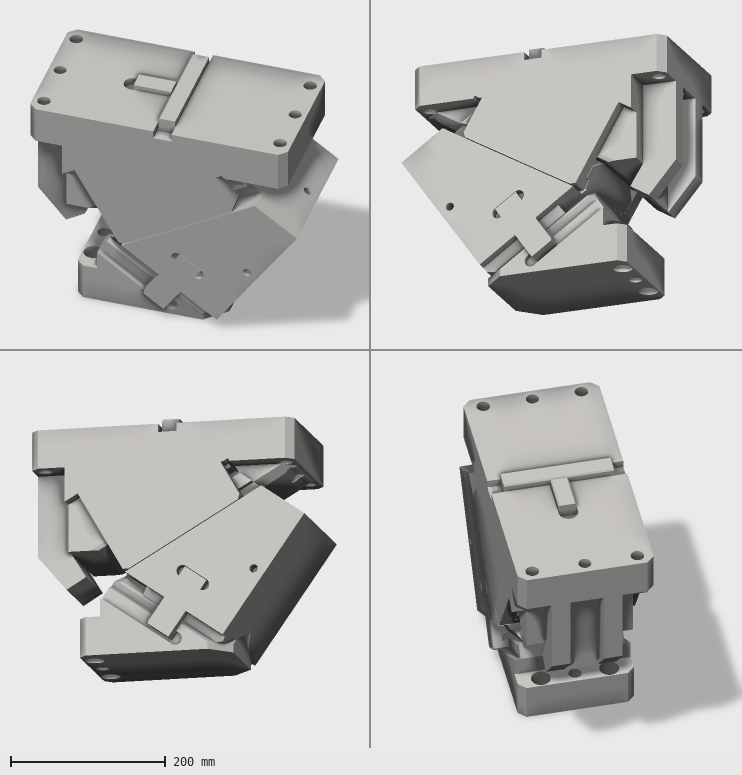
import cadquery as cq
import math

LENGTH = 364.5
WIDTH = 180.0
HEIGHT = 309.0
FAR = 437.5

RAMP_X = 89.7
RAMP_Z = 76.2
RAMP_ANGLE = 35.0
ROOF_ANGLE = 30.0

WAY_X = 125.5
WAY_Z = 105.0
WAY_ANGLE = 30.0

ramp_cos = math.cos(math.radians(RAMP_ANGLE))
ramp_sin = math.sin(math.radians(RAMP_ANGLE))
way_cos = math.cos(math.radians(WAY_ANGLE))
way_sin = math.sin(math.radians(WAY_ANGLE))
roof_tan = math.tan(math.radians(ROOF_ANGLE))
roof_sin = math.sin(math.radians(ROOF_ANGLE))
roof_cos = math.cos(math.radians(ROOF_ANGLE))

RAMP_ORIGIN = (RAMP_X, 0, RAMP_Z)
RAMP_DIR = (ramp_cos, 0, -ramp_sin)
RAMP_UP = (ramp_sin, 0, ramp_cos)
WAY_ORIGIN = (WAY_X, 0, WAY_Z)
WAY_DIR = (way_cos, 0, way_sin)

SIDE = cq.Plane.named("XZ")
RAMP_SIDE = cq.Plane(origin=RAMP_ORIGIN, xDir=RAMP_DIR, normal=(0, -1, 0))
RAMP_SECTION = cq.Plane(origin=RAMP_ORIGIN, xDir=(0, 1, 0), normal=RAMP_DIR)
WAY_SIDE = cq.Plane(origin=WAY_ORIGIN, xDir=WAY_DIR, normal=(0, -1, 0))
WAY_SECTION = cq.Plane(origin=WAY_ORIGIN, xDir=(0, 1, 0), normal=WAY_DIR)

PLATE_LENGTH = 349.5
PLATE_TOP = 299.8
PLATE_REAR_Z = 248.7
PLATE_FRONT_Z = 245.0
CORNER_CHAMFER = 10.2
BODY_REAR_X = 46.0
BODY_BOTTOM_Z = 140.8
GIB_TIP_Z = 109.5
GIB_TOP = 124.7
GIB_END = 180.0
GIB_CHAMFER = 5.5
RUNNING_GAP = 1.0
SLOT_HALF = 70.5
LIP_HALF = 60.5
LIP_TOP = 18.5
SLOT_EDGE_TOP = 55.8
SLOT_TOP = 51.0
SLOT_BEVEL = 2.2
CEILING_END = 186.5
RELIEF_END = 191.0
STOP_HALF = 59.8
STOP_SIDE = 20.0
STOP_BOTTOM = 11.3
STOP_TIP = (323.5, 231.0)
STOP_BEND = (335.0, 241.8)
STOP_FRONT = (343.5, 243.2)
POST_INNER = 22.2
POST_OUTER = 46.5
WEB_REAR_X = 38.0
POST_TOE = (38.0, 96.3)
POST_HEEL = (63.8, 112.0)
KEY_REAR_X = 171.5
KEY_FRONT_X = 194.5
KEY_SLOT_REAR_X = 170.0
KEY_SLOT_Z = 288.8
KEY_HALF = 73.0
KEY_CHAMFER = 2.0
TONGUE_REAR_X = 119.2
TONGUE_WIDTH = 23.5
TONGUE_SLOT_WIDTH = 25.5
TONGUE_SLOT_REAR_X = 102.0
REAR_SCREW_X = 15.3
REAR_SCREW_Y = 69.5
FRONT_SCREW_X = 334.0
FRONT_SCREW_Y = 65.0
PLATE_SCREW_DIAMETER = 17.5
DOWEL_DIAMETER = 16.8

BASE_HALF = 77.0
BASE_REAR_X = 60.5
BASE_FRONT_X = 260.5
FOOT_Z = 51.0
BASE_REAR_CHAMFER = 10.0
BASE_FRONT_CHAMFER = 27.7
FOOT_HOLE_X = 74.8
FOOT_SCREW_Y = 45.2
FOOT_SCREW_DIAMETER = 25.5
RAIL_HALF = 69.0
RAIL_TIP = 32.5
UNDERCUT = 6.2
TIP_RADIUS = 3.0
LEAD_LENGTH = 9.0
LEAD_ANGLE = 30.0
GROOVE_END = 116.7
GROOVE_END_RADIUS = 8.5

SLIDE_NOSE = 5.0
NOSE_TOP = 47.5
SLIDE_END = 171.5
SLIDE_BOTTOM = 45.0
SHOE_START = 44.5
SHOE_HALF = 77.0
SHOE_TIP_RADIUS = 2.2
SHOE_BOTTOM_Z = 9.5
RECESS_HALF = 51.8
NECK_HALF = 59.5
HEAD_HALF = 69.3
HEAD_BOTTOM = 19.7
HEAD_SHOULDER = 37.0
LEG_START = 77.0
LEG_END = 111.5
LEG_HALF = 77.3
HOOK_HALF = 69.5
HOOK_TOP = 18.2
LEG_BOTTOM = 4.5
LEG_TOP = 93.0
LEG_CHAMFER = 2.2
RELIEF_RADIUS = 7.5
RELIEF_CENTER = 86.0
RELIEF_DEPTH = 12.8
HANDLING_DIAMETER = 11.0
HANDLING_DEPTH = 18.2
SIDE_HOLE_X = 297.2
SIDE_HOLE_Z = 100.3
END_HOLE = 154.5
slide_top = (LENGTH - RAMP_X - SLIDE_END * ramp_cos) / ramp_sin


def prism(plane, points, half):
    """Outline extruded equally to both sides of its plane."""
    return cq.Workplane(plane).polyline(points).close().extrude(half, both=True)


def rect(x0, y0, x1, y1):
    return [(x0, y0), (x1, y0), (x1, y1), (x0, y1)]


def section(plane, points, start, end):
    """Cross-section outline swept along the plane's normal from start to end."""
    return cq.Workplane(plane).workplane(offset=start).polyline(points).close().extrude(end - start)


def mirrored(points):
    """Closed symmetric outline from the points of its +Y half."""
    return points + [(-y, z) for y, z in reversed(points)]


def box(x0, x1, y0, y1, z0, z1):
    return cq.Workplane("XY").box(x1 - x0, y1 - y0, z1 - z0, centered=False).translate((x0, y0, z0))


def both_sides(body):
    return body.union(body.mirror("XZ"))


def holes(points, diameter, bottom, top):
    plane = cq.Workplane("XY").workplane(offset=bottom)
    return plane.pushPoints(points).circle(diameter / 2).extrude(top - bottom)


def fillet_near(body, plane, point, radius):
    """Fillet the edge of the body that lies nearest to a point given in a plane's own axes."""
    target = plane.toWorldCoords(point).toTuple()
    return body.edges(cq.selectors.NearestToPointSelector(target)).fillet(radius)


def way(s, t):
    """X and Z of a point given along and above the slideway."""
    return WAY_X + s * way_cos - t * way_sin, WAY_Z + s * way_sin + t * way_cos


def roof_height(y):
    """Height of the rail's roof above the groove floor at a distance y from the middle."""
    return RAIL_TIP + (RAIL_HALF - y) * roof_tan


def make_plate():
    rear = box(0, BODY_REAR_X, -WIDTH / 2, WIDTH / 2, PLATE_REAR_Z, PLATE_TOP)
    front = box(BODY_REAR_X, PLATE_LENGTH, -WIDTH / 2, WIDTH / 2, PLATE_FRONT_Z, PLATE_TOP)
    plate = rear.union(front).edges("|Z and (<X or >X)").chamfer(CORNER_CHAMFER)
    notch = prism(WAY_SIDE, rect(GIB_END, 0, RELIEF_END, SLOT_EDGE_TOP), WIDTH)
    return plate.cut(notch)


def make_gib_body():
    rear_top = way(0, GIB_TOP)
    corner_z = rear_top[1] - (rear_top[0] - BODY_REAR_X) * way_sin / way_cos
    tip_t = (GIB_TIP_Z - WAY_Z) / way_cos
    tip_s = (GIB_TIP_Z - WAY_Z - RUNNING_GAP * way_cos) / way_sin
    end_top = way(GIB_END, SLOT_EDGE_TOP)
    outline = [
        (BODY_REAR_X, PLATE_TOP),
        (BODY_REAR_X, corner_z),
        rear_top,
        way(0, tip_t),
        way(tip_s, RUNNING_GAP),
        way(GIB_END - GIB_CHAMFER, RUNNING_GAP),
        way(GIB_END, RUNNING_GAP + GIB_CHAMFER),
        end_top,
        (end_top[0], PLATE_TOP),
    ]
    gibs = prism(SIDE, outline, WIDTH / 2)
    core = box(BODY_REAR_X, WAY_X, -SLOT_HALF, SLOT_HALF, BODY_BOTTOM_Z, PLATE_TOP)
    slot_half = [
        (LIP_HALF, -FAR / 2),
        (LIP_HALF, LIP_TOP),
        (SLOT_HALF, LIP_TOP),
        (SLOT_HALF, SLOT_EDGE_TOP),
        (SLOT_HALF - SLOT_BEVEL, SLOT_TOP),
    ]
    ceiling_end = prism(WAY_SIDE, rect(GIB_END - GIB_CHAMFER, LIP_TOP, CEILING_END, SLOT_EDGE_TOP), SLOT_HALF)
    slot = section(WAY_SECTION, mirrored(slot_half), -FAR / 2, FAR)
    return gibs.union(core).union(ceiling_end).cut(slot)


def make_posts():
    hook = [
        (0, PLATE_REAR_Z),
        (0, BODY_BOTTOM_Z),
        POST_TOE,
        POST_HEEL,
        (BODY_REAR_X, BODY_BOTTOM_Z),
        (BODY_REAR_X, PLATE_REAR_Z),
    ]
    posts = prism(SIDE, hook, POST_OUTER)
    return posts.cut(box(0, WEB_REAR_X, -POST_INNER, POST_INNER, 0, PLATE_REAR_Z))


def make_stop():
    keel_half = STOP_HALF - (STOP_SIDE - STOP_BOTTOM) / roof_tan
    half = [(keel_half, STOP_BOTTOM), (STOP_HALF, STOP_SIDE), (STOP_HALF, FAR)]
    stop = section(WAY_SECTION, mirrored(half), RELIEF_END, FAR)
    outline = [
        (WAY_X, PLATE_FRONT_Z),
        (WAY_X, 0),
        (STOP_TIP[0], 0),
        STOP_TIP,
        STOP_BEND,
        STOP_FRONT,
        (STOP_FRONT[0], PLATE_FRONT_Z),
    ]
    stop = stop.intersect(prism(SIDE, outline, WIDTH))
    return stop.cut(prism(RAMP_SIDE, rect(0, 0, FAR, slide_top), WIDTH))


def cut_key_slots(body):
    key_slot = box(KEY_SLOT_REAR_X, KEY_FRONT_X, -WIDTH, WIDTH, KEY_SLOT_Z, HEIGHT)
    half = TONGUE_SLOT_WIDTH / 2
    round_x = TONGUE_SLOT_REAR_X + half
    tongue_slot = box(round_x, KEY_SLOT_REAR_X, -half, half, KEY_SLOT_Z, HEIGHT)
    tongue_end = holes([(round_x, 0)], TONGUE_SLOT_WIDTH, KEY_SLOT_Z, HEIGHT)
    return body.cut(key_slot).cut(tongue_slot).cut(tongue_end)


def make_keys():
    key = box(KEY_REAR_X, KEY_FRONT_X, -KEY_HALF, KEY_HALF, KEY_SLOT_Z, HEIGHT)
    key = key.edges(">Z and |Y").edges("<X").chamfer(KEY_CHAMFER)
    half = TONGUE_WIDTH / 2
    tongue = box(TONGUE_REAR_X, KEY_SLOT_REAR_X, -half, half, KEY_SLOT_Z, HEIGHT)
    return key, tongue.edges(">Z and |X").chamfer(KEY_CHAMFER)


def make_holder():
    holder = make_plate().union(make_gib_body()).union(make_posts()).union(make_stop())
    holder = cut_key_slots(holder)
    for key in make_keys():
        holder = holder.union(key)
    for x, y in ((REAR_SCREW_X, REAR_SCREW_Y), (FRONT_SCREW_X, FRONT_SCREW_Y)):
        screws = holes([(x, -y), (x, y)], PLATE_SCREW_DIAMETER, 0, PLATE_TOP)
        dowel = holes([(x, 0)], DOWEL_DIAMETER, 0, PLATE_TOP)
        holder = holder.cut(screws).cut(dowel)
    return holder


def make_roof_space():
    """Everything below the V roof."""
    eave = FAR / 2
    half = [(eave, -FAR), (eave, roof_height(eave))]
    ridge = [(0, roof_height(0))]
    outline = half + ridge + [(-y, v) for y, v in reversed(half)]
    return section(RAMP_SECTION, outline, -FAR, FAR)


def make_lead_cut():
    """Tilted block above the lead-in of the -Y side of the roof."""
    slab = cq.Workplane("XY").box(FAR, FAR, FAR, centered=(True, True, False))
    slab = slab.rotate((0, 0, 0), (0, 1, 0), -LEAD_ANGLE)
    slab = slab.rotate((0, 0, 0), (1, 0, 0), ROOF_ANGLE)
    slab = slab.rotate((0, 0, 0), (0, 1, 0), RAMP_ANGLE)
    ridge = RAMP_SIDE.toWorldCoords((LEAD_LENGTH, roof_height(0)))
    return slab.translate(ridge.toTuple())


def make_groove():
    """Side groove of the +Y side: undercut as far as the leg, then a plain round end."""
    inner = RAIL_HALF - UNDERCUT
    half = [
        (BASE_HALF, 0),
        (RAIL_HALF, 0),
        (RAIL_HALF, RAIL_TIP - UNDERCUT / roof_tan - UNDERCUT * roof_tan),
        (inner, RAIL_TIP - UNDERCUT / roof_tan),
        (RAIL_HALF, RAIL_TIP),
        (RAIL_HALF, FAR),
        (BASE_HALF, FAR),
    ]
    groove = section(RAMP_SECTION, half, 0, LEG_END)
    depth = BASE_HALF - RAIL_HALF
    plane = cq.Workplane(RAMP_SIDE).workplane(offset=-BASE_HALF)
    floor = plane.polyline(rect(0, 0, GROOVE_END, 2 * GROOVE_END_RADIUS)).close().extrude(depth)
    end = plane.center(GROOVE_END, GROOVE_END_RADIUS).circle(GROOVE_END_RADIUS).extrude(depth)
    return groove.union(floor).union(end)


def round_rail_tips(base):
    for side in (-1, 1):
        tip = (side * RAIL_HALF, RAIL_TIP, LEG_END / 2)
        base = fillet_near(base, RAMP_SECTION, tip, TIP_RADIUS)
    return base


def make_base():
    ridge = RAMP_SIDE.toWorldCoords((0, roof_height(0)))
    outline = [
        (BASE_REAR_X, 0),
        (BASE_FRONT_X, 0),
        (BASE_FRONT_X, ridge.z),
        (ridge.x, ridge.z),
        (RAMP_X, RAMP_Z),
        (RAMP_X, FOOT_Z),
        (BASE_REAR_X, FOOT_Z),
    ]
    base = prism(SIDE, outline, BASE_HALF)
    base = base.edges("|Z and <X").chamfer(BASE_REAR_CHAMFER)
    base = base.edges("|Z and >X").chamfer(BASE_FRONT_CHAMFER)
    base = base.intersect(make_roof_space()).cut(both_sides(make_groove()))
    base = round_rail_tips(base)
    lead = make_lead_cut()
    base = base.cut(lead).cut(lead.mirror("XZ"))
    screw_centers = [(FOOT_HOLE_X, -FOOT_SCREW_Y), (FOOT_HOLE_X, FOOT_SCREW_Y)]
    screws = holes(screw_centers, FOOT_SCREW_DIAMETER, 0, FOOT_Z)
    dowel = holes([(FOOT_HOLE_X, 0)], DOWEL_DIAMETER, 0, FOOT_Z)
    return base.cut(screws).cut(dowel)


def make_slide_stack():
    block = prism(RAMP_SIDE, rect(-FAR, SLIDE_BOTTOM, SLIDE_END, slide_top), WIDTH / 2)
    roof_rise = SLOT_TOP - RUNNING_GAP - HEAD_SHOULDER
    half = [
        (WIDTH / 2, -FAR),
        (WIDTH / 2, 0),
        (NECK_HALF, 0),
        (NECK_HALF, HEAD_BOTTOM),
        (HEAD_HALF, HEAD_BOTTOM),
        (HEAD_HALF, HEAD_SHOULDER),
        (HEAD_HALF - roof_rise / roof_tan, HEAD_SHOULDER + roof_rise),
    ]
    stack = block.intersect(section(WAY_SECTION, mirrored(half), -FAR, FAR))
    head_front = prism(WAY_SIDE, rect(-FAR, -FAR, 0, FAR), WIDTH)
    head_front = head_front.cut(prism(RAMP_SIDE, rect(-FAR, -FAR, FAR, NOSE_TOP), 2 * WIDTH))
    nose_front = prism(RAMP_SIDE, rect(-FAR, 0, SLIDE_NOSE, NOSE_TOP), WIDTH)
    return stack.cut(head_front).cut(nose_front)


def make_recess_and_shoe():
    """V recess that clears the rail, and the shoe that fills the space down to the roof."""
    ridge = SLIDE_BOTTOM + RECESS_HALF * roof_tan
    triangle = [(RECESS_HALF, SLIDE_BOTTOM), (0, ridge), (-RECESS_HALF, SLIDE_BOTTOM)]
    recess = section(RAMP_SECTION, triangle, 0, FAR)
    tip_drop = (SLIDE_BOTTOM - roof_height(SHOE_HALF)) * roof_cos
    tip_y = SHOE_HALF - tip_drop * roof_sin
    half = [(tip_y, roof_height(tip_y)), (SHOE_HALF, SLIDE_BOTTOM), (RECESS_HALF, SLIDE_BOTTOM)]
    outline = [(0, roof_height(0))] + half + [(0, ridge)] + [(-y, v) for y, v in reversed(half)]
    shoe = section(RAMP_SECTION, outline, SHOE_START, SLIDE_END)
    for side in (-1, 1):
        tip = (side * tip_y, roof_height(tip_y), (SHOE_START + SLIDE_END) / 2)
        shoe = fillet_near(shoe, RAMP_SECTION, tip, SHOE_TIP_RADIUS)
    return recess, shoe.intersect(box(0, LENGTH, -WIDTH, WIDTH, SHOE_BOTTOM_Z, HEIGHT))


def make_leg():
    """Return leg hanging beside the base, with an inward hook along its lower edge."""
    hook_drop = (LEG_HALF - HOOK_HALF) * roof_tan
    profile = [
        (WIDTH / 2, SLIDE_BOTTOM),
        (WIDTH / 2, LEG_BOTTOM),
        (HOOK_HALF, LEG_BOTTOM),
        (HOOK_HALF, HOOK_TOP),
        (LEG_HALF, HOOK_TOP - hook_drop),
        (LEG_HALF, SLIDE_BOTTOM),
    ]
    leg = section(RAMP_SECTION, profile, LEG_START, LEG_END)
    corner = [
        (LEG_START, LEG_BOTTOM),
        (LEG_START + LEG_CHAMFER, LEG_BOTTOM),
        (LEG_START, LEG_BOTTOM + LEG_CHAMFER),
    ]
    return leg.cut(prism(RAMP_SIDE, corner, WIDTH))


def make_leg_reliefs():
    """Half-round reliefs at the two upper corners of a return leg."""
    top = RELIEF_CENTER + RELIEF_RADIUS
    plane = cq.Workplane(RAMP_SIDE).workplane(offset=-WIDTH / 2)
    ends = plane.pushPoints([(LEG_START, RELIEF_CENTER), (LEG_END, RELIEF_CENTER)])
    ends = ends.circle(RELIEF_RADIUS).extrude(RELIEF_DEPTH)
    strip = plane.polyline(rect(LEG_START, RELIEF_CENTER, LEG_END, top)).close().extrude(RELIEF_DEPTH)
    return ends.union(strip).cut(prism(RAMP_SIDE, rect(LEG_START, 0, LEG_END, LEG_TOP), WIDTH))


def make_side_hole():
    side = cq.Workplane(SIDE).workplane(offset=WIDTH / 2)
    return side.center(SIDE_HOLE_X, SIDE_HOLE_Z).circle(HANDLING_DIAMETER / 2).extrude(-HANDLING_DEPTH)


def make_end_hole():
    center = RAMP_SIDE.toWorldCoords((END_HOLE, slide_top))
    plane = cq.Plane(origin=center.toTuple(), normal=RAMP_UP)
    return cq.Workplane(plane).circle(HANDLING_DIAMETER / 2).extrude(-HANDLING_DEPTH)


def make_slide():
    recess, shoe = make_recess_and_shoe()
    slide = make_slide_stack().cut(recess).union(shoe)
    slide = slide.union(both_sides(make_leg())).cut(both_sides(make_leg_reliefs()))
    slide = slide.cut(both_sides(make_side_hole()))
    return slide.cut(make_end_hole())


holder = make_holder()
base = make_base()
slide = make_slide()
result = cq.Compound.makeCompound([holder.solids().val(), slide.solids().val(), base.solids().val()])